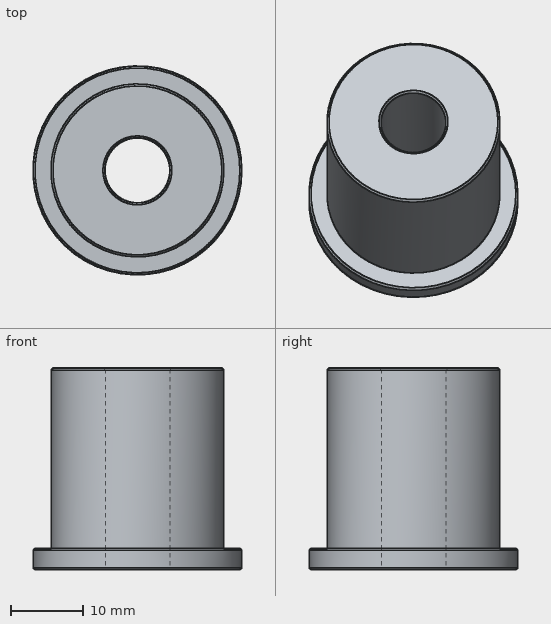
import cadquery as cq

flange_diameter = 29.0
flange_thickness = 3.0
body_diameter = 24.0
total_height = 28.0
bore_diameter = 9.0
edge_chamfer = 0.3


def chamfered_flange():
    """Flange disc with both rims broken."""
    disc = cq.Workplane("XY").circle(flange_diameter / 2).extrude(flange_thickness)
    return disc.faces("<Z or >Z").edges().chamfer(edge_chamfer)


def chamfered_body():
    """Cylindrical body with its top rim broken."""
    cylinder = cq.Workplane("XY").circle(body_diameter / 2).extrude(total_height)
    return cylinder.faces(">Z").edges().chamfer(edge_chamfer)


def bore_cutter():
    """Through bore that widens in a chamfer at the top face."""
    bore_radius = bore_diameter / 2
    mouth_radius = bore_radius + edge_chamfer
    return (
        cq.Workplane("XZ")
        .moveTo(0, 0)
        .lineTo(bore_radius, 0)
        .lineTo(bore_radius, total_height - edge_chamfer)
        .lineTo(mouth_radius, total_height)
        .lineTo(0, total_height)
        .close()
        .revolve(360, (0, 0, 0), (0, 1, 0))
    )


result = chamfered_flange().union(chamfered_body()).cut(bore_cutter())